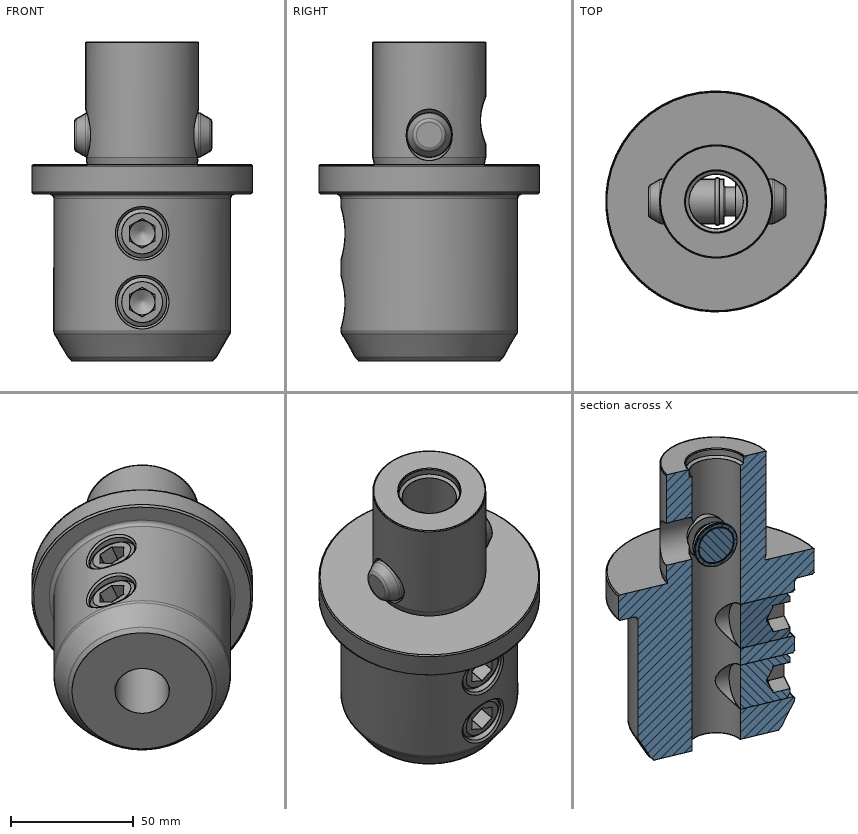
import cadquery as cq
import math

total_height = 130.0
pilot_radius = 23.0
pilot_chamfer = 0.4
flange_radius = 45.0
flange_top = 80.0
flange_thickness = 12.0
flange_top_chamfer = 0.5
flange_bottom_chamfer = 0.8
flange_bottom = flange_top - flange_thickness
relief_height = 3.0
relief_depth = 0.6
shank_radius = 36.0
shank_neck_fillet = 1.8
nose_height = 11.7
nose_angle = 30.0
nose_tip_chamfer = 1.7
nose_shoulder_fillet = 2.5

bore_radius = 11.0
mouth_radius = 12.5
mouth_depth = 3.1
mouth_chamfer = 0.4
seat_depth = 0.8

pin_height = 92.0
pin_radius = 9.1
pin_length = 55.9
pin_shift = 0.4
pin_tip_radius = 6.2
pin_cone_angle = 30.0
pin_tip_fillet = 1.7
pin_shoulder_fillet = 2.0
neck_radius = 6.0
neck_start = 3.1
neck_end = 7.9
neck_fillet = 0.6
countersink_radius = 10.5
countersink_angle = 30.0

ring_outer_radius = 9.8
ring_section_radius = 0.9
ring_shift = 0.5
ring_center_radius = ring_outer_radius - ring_section_radius

cross_hole_height = 98.0
cross_hole_radius = 9.6

screw_heights = (24.0, 52.0)
screw_radius = 10.0
screw_face_y = -33.8
screw_chamfer_width = 1.7
screw_chamfer_depth = 1.3
screw_hole_chamfer = 0.9
hex_across_flats = 10.4
hex_depth = 7.8
hex_cone_depth = hex_across_flats / 2 * math.tan(math.radians(30))
screw_end_y = -bore_radius


def rod_along_y(radius, start_y, end_y, height):
    """Cylinder parallel to Y, centred on X = 0 at the given height."""
    rod = cq.Solid.makeCylinder(radius, end_y - start_y, cq.Vector(0, start_y, height), cq.Vector(0, 1, 0))
    return cq.Workplane(obj=rod)


def make_housing_blank():
    """Turned outside of the housing."""
    nose_drop = (nose_height - nose_tip_chamfer) * math.tan(math.radians(nose_angle))
    tip_radius = shank_radius - nose_drop
    blank = (
        cq.Workplane("XZ")
        .moveTo(0, 0)
        .lineTo(tip_radius - nose_tip_chamfer, 0)
        .lineTo(tip_radius, nose_tip_chamfer)
        .lineTo(shank_radius, nose_height)
        .lineTo(shank_radius, flange_bottom)
        .lineTo(flange_radius, flange_bottom)
        .lineTo(flange_radius, flange_top)
        .lineTo(pilot_radius - relief_depth, flange_top)
        .lineTo(pilot_radius, flange_top + relief_height)
        .lineTo(pilot_radius, total_height)
        .lineTo(0, total_height)
        .close()
        .revolve(360, (0, 0, 0), (0, 1, 0))
    )

    outermost = cq.selectors.RadiusNthSelector(-1)

    def rim(radius, height):
        """Selector for the circles at this height, out to this radius."""
        reach = 0.1
        return cq.selectors.BoxSelector(
            (-radius - reach, -radius - reach, height - reach),
            (radius + reach, radius + reach, height + reach),
            boundingbox=True,
        )

    blank = blank.edges(rim(shank_radius, flange_bottom)).fillet(shank_neck_fillet)
    blank = blank.edges(rim(shank_radius, nose_height)).fillet(nose_shoulder_fillet)
    blank = blank.faces(">Z").edges().chamfer(pilot_chamfer)
    blank = blank.edges(rim(flange_radius, flange_top)).edges(outermost).chamfer(flange_top_chamfer)
    return blank.edges(rim(flange_radius, flange_bottom)).edges(outermost).chamfer(flange_bottom_chamfer)


def make_bore():
    """Bore through the housing, with a conical seat and a chamfered mouth."""
    mouth_bottom = total_height - mouth_depth
    return (
        cq.Workplane("XZ")
        .moveTo(0, 0)
        .lineTo(bore_radius, 0)
        .lineTo(bore_radius, mouth_bottom - seat_depth)
        .lineTo(mouth_radius, mouth_bottom)
        .lineTo(mouth_radius, total_height - mouth_chamfer)
        .lineTo(mouth_radius + mouth_chamfer, total_height)
        .lineTo(0, total_height)
        .close()
        .revolve(360, (0, 0, 0), (0, 1, 0))
    )


def make_pin_hole():
    """Hole across the pilot along X, countersunk at both ends."""
    sink_depth = (countersink_radius - pin_radius) / math.tan(math.radians(countersink_angle))
    return (
        cq.Workplane("XY", origin=(0, 0, pin_height))
        .moveTo(-pilot_radius, 0)
        .lineTo(-pilot_radius, countersink_radius)
        .lineTo(-pilot_radius + sink_depth, pin_radius)
        .lineTo(pilot_radius - sink_depth, pin_radius)
        .lineTo(pilot_radius, countersink_radius)
        .lineTo(pilot_radius, 0)
        .close()
        .revolve(360, (0, 0, 0), (1, 0, 0))
    )


def make_housing():
    housing = make_housing_blank()
    clearance = 0.6
    mouth_reach = screw_radius + clearance
    for height in screw_heights:
        housing = housing.cut(rod_along_y(screw_radius, -shank_radius, 0, height))
        mouth = cq.selectors.BoxSelector(
            (-mouth_reach, -shank_radius - clearance, height - mouth_reach),
            (mouth_reach, -bore_radius, height + mouth_reach),
            boundingbox=True,
        )
        housing = housing.edges(mouth).chamfer(screw_hole_chamfer)
    housing = housing.cut(make_bore())
    housing = housing.cut(make_pin_hole())
    return housing.cut(rod_along_y(cross_hole_radius, 0, pilot_radius, cross_hole_height))


def make_pin():
    """Pin with rounded conical ends, a neck, and a groove for the O-ring."""
    end_x = pin_length / 2
    shoulder_x = end_x - (pin_radius - pin_tip_radius) / math.tan(math.radians(pin_cone_angle))
    pin = (
        cq.Workplane("XY")
        .moveTo(-end_x, 0)
        .lineTo(-end_x, pin_tip_radius)
        .lineTo(-shoulder_x, pin_radius)
        .lineTo(shoulder_x, pin_radius)
        .lineTo(end_x, pin_tip_radius)
        .lineTo(end_x, 0)
        .close()
        .revolve(360, (0, 0, 0), (1, 0, 0))
    )
    pin = pin.edges("%CIRCLE").edges(cq.selectors.RadiusNthSelector(1)).fillet(pin_shoulder_fillet)
    pin = pin.faces("<X or >X").edges().fillet(pin_tip_fillet)
    pin = pin.translate((pin_shift, 0, 0))

    neck = (
        cq.Workplane("YZ", origin=(neck_start, 0, 0))
        .circle(pin_radius)
        .circle(neck_radius)
        .extrude(neck_end - neck_start)
    )
    neck = neck.faces("<X").edges(cq.selectors.RadiusNthSelector(0)).fillet(neck_fillet)
    groove = (
        cq.Workplane("YZ", origin=(ring_shift - ring_section_radius, 0, 0))
        .circle(pin_radius)
        .circle(ring_center_radius - ring_section_radius)
        .extrude(2 * ring_section_radius)
    )
    return pin.cut(neck).cut(groove).translate((0, 0, pin_height))


def make_o_ring():
    """Ring around the pin axis."""
    ring = cq.Solid.makeTorus(
        ring_center_radius,
        ring_section_radius,
        cq.Vector(ring_shift, 0, pin_height),
        cq.Vector(1, 0, 0),
    )
    return cq.Workplane(obj=ring)


def make_set_screw(height):
    """Set screw with a chamfered face and a hexagon socket ending in a cone."""
    screw = rod_along_y(screw_radius, screw_face_y, screw_end_y, height)
    screw = screw.faces("<Y").edges().chamfer(screw_chamfer_depth, screw_chamfer_width)
    face_plane = cq.Plane(origin=(0, screw_face_y, height), xDir=(0, 0, 1), normal=(0, 1, 0))
    corner_diameter = hex_across_flats / math.cos(math.radians(30))
    socket = cq.Workplane(face_plane).polygon(6, corner_diameter).extrude(hex_depth)
    tip = cq.Solid.makeCone(
        hex_across_flats / 2,
        0,
        hex_cone_depth,
        cq.Vector(0, screw_face_y + hex_depth, height),
        cq.Vector(0, 1, 0),
    )
    return screw.cut(socket).cut(cq.Workplane(obj=tip))


housing = make_housing()
pin = make_pin()
o_ring = make_o_ring()
set_screws = [make_set_screw(height) for height in screw_heights]

result = cq.Compound.makeCompound(
    [housing.val(), pin.val(), o_ring.val(), *[screw.val() for screw in set_screws]]
)